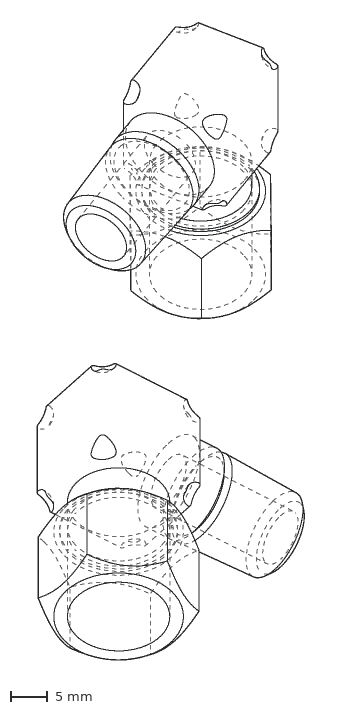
import cadquery as cq


NUT_ACROSS_CORNERS = 22.05
NUT_HEIGHT = 15.55
NUT_FACE_RADIUS = 8.8
NUT_CHAMFER = NUT_ACROSS_CORNERS / 2 - NUT_FACE_RADIUS

TOTAL_HEIGHT = 38.0
BLOCK_WIDTH = 15.05
BLOCK_SIDE = 17.02
BLOCK_EDGE_RADIUS = 0.65
CORNER_SCALLOP_RADIUS = 2.5
BALL_SEAM_TURN = 45
BLOCK_CENTER_Z = TOTAL_HEIGHT - BLOCK_SIDE / 2

NECK_RADIUS = 6.95

BLOCK_FACE = BLOCK_SIDE / 2
NECK_END = 12.75
GROOVE_BOTTOM = 13.53
GROOVE_RADIUS = 5.9
TAPER_START = 14.17
TAPER_START_RADIUS = 6.85
TAPER_END_RADIUS = 6.42
SPIGOT_END = 27.5
TIP_CHAMFER = 1.0
BORE_RADIUS = 4.0
BORE_DEPTH = SPIGOT_END - BLOCK_FACE

RING_RADIUS = 8.0
RING_RIM_HEIGHT = 0.45
RING_HEIGHT = 0.95


def make_block():
    """Box with rounded edges and a spherical scallop at every corner."""
    box = cq.Workplane("XY").box(BLOCK_WIDTH, BLOCK_SIDE, BLOCK_SIDE)
    block = box.edges().fillet(BLOCK_EDGE_RADIUS)
    ball = cq.Workplane("XY").sphere(CORNER_SCALLOP_RADIUS).rotate((0, 0, 0), (0, 0, 1), BALL_SEAM_TURN)
    for corner in box.vertices().vals():
        block = block.cut(ball.translate(corner.toTuple()))
    return block.translate((0, 0, BLOCK_CENTER_Z))


def make_spigot():
    """Neck, V groove and tapered end, turned about the Y axis."""
    profile = [
        (0, 0),
        (NECK_RADIUS, 0),
        (NECK_RADIUS, -NECK_END),
        (GROOVE_RADIUS, -GROOVE_BOTTOM),
        (TAPER_START_RADIUS, -TAPER_START),
        (TAPER_END_RADIUS, -(SPIGOT_END - TIP_CHAMFER)),
        (TAPER_END_RADIUS - TIP_CHAMFER, -SPIGOT_END),
        (0, -SPIGOT_END),
    ]
    spigot = cq.Workplane("XY").polyline(profile).close().revolve(360, (0, 0, 0), (0, 1, 0))
    return spigot.translate((0, 0, BLOCK_CENTER_Z))


def make_elbow():
    """Block with the threaded end to -Y and a plain neck down through the nut."""
    lower_neck = cq.Workplane("XY").circle(NECK_RADIUS).extrude(BLOCK_CENTER_Z)
    bore = (
        cq.Workplane("XZ", origin=(0, -SPIGOT_END, BLOCK_CENTER_Z))
        .circle(BORE_RADIUS)
        .extrude(-BORE_DEPTH)
    )
    return make_block().union(make_spigot()).union(lower_neck).cut(bore)


def make_nut():
    """Hexagon with conical chamfers at both ends and a hole for the neck."""
    corner_radius = NUT_ACROSS_CORNERS / 2
    turned_profile = [
        (0, 0),
        (NUT_FACE_RADIUS, 0),
        (corner_radius, NUT_CHAMFER),
        (corner_radius, NUT_HEIGHT - NUT_CHAMFER),
        (NUT_FACE_RADIUS, NUT_HEIGHT),
        (0, NUT_HEIGHT),
    ]
    turned = cq.Workplane("XZ").polyline(turned_profile).close().revolve(360, (0, 0, 0), (0, 1, 0))
    hexagon = cq.Workplane("XY").polygon(6, NUT_ACROSS_CORNERS).extrude(NUT_HEIGHT)
    neck_hole = cq.Workplane("XY").circle(NECK_RADIUS).extrude(NUT_HEIGHT)
    return hexagon.intersect(turned).cut(neck_hole)


def make_ring():
    """Ring with a short straight rim and a conical top."""
    profile = [
        (NECK_RADIUS, NUT_HEIGHT),
        (RING_RADIUS, NUT_HEIGHT),
        (RING_RADIUS, NUT_HEIGHT + RING_RIM_HEIGHT),
        (NECK_RADIUS, NUT_HEIGHT + RING_HEIGHT),
    ]
    return cq.Workplane("XZ").polyline(profile).close().revolve(360, (0, 0, 0), (0, 1, 0))


elbow = make_elbow()
nut = make_nut()
ring = make_ring()

result = cq.Compound.makeCompound([elbow.solids().val(), nut.solids().val(), ring.val()])